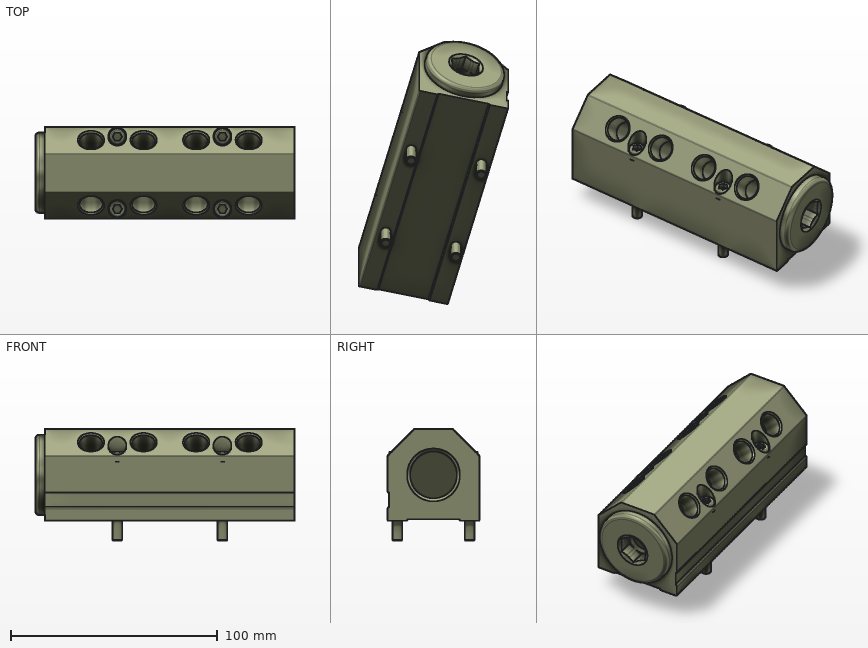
import cadquery as cq
import math

BLOCK_LENGTH = 120.65
BLOCK_SIZE = 44.45
TOP_CHAMFER = 12.9
HALF_WIDTH = BLOCK_SIZE / 2
CHAMFER_Z = BLOCK_SIZE - TOP_CHAMFER
TOP_FLAT_HALF = HALF_WIDTH - TOP_CHAMFER
MID_X = BLOCK_LENGTH / 2
BORE_Z = BLOCK_SIZE / 2

RELIEF_DEPTH = 0.72
SIDE_RELIEF_BOTTOM = 6.2
SIDE_RELIEF_TOP = 13.7
BASE_RELIEF_WIDTH = 26.2
EDGE_FILLET = 0.6

BORE_DIAMETER = 22.6
BORE_CHAMFER = 1.5
PORT_DIAMETER = 11.2
PORT_CHAMFER = 0.8
PORT_PITCH = 25.4
PORT_COUNT = 4
PORT_OFFSETS = [(i - (PORT_COUNT - 1) / 2) * PORT_PITCH for i in range(PORT_COUNT)]

SCREW_X_SPACING = 50.8
SCREW_Y_SPACING = 34.925
SCREW_DIAMETER = 4.83
SCREW_LENGTH = 38.1
SCREW_PROTRUSION = 9.53
SCREW_TIP_CHAMFER = 0.4
HEAD_DIAMETER = 7.92
HEAD_HEIGHT = SCREW_DIAMETER
HEAD_FILLET = 0.7
HEAD_HEX = 3.97
HEAD_HEX_DEPTH = HEAD_HEIGHT / 2
COUNTERBORE_DIAMETER = 8.73
HEAD_SEAT_Z = SCREW_LENGTH - SCREW_PROTRUSION
SCREW_POSITIONS = [
    (MID_X + sx * SCREW_X_SPACING / 2, sy * SCREW_Y_SPACING / 2)
    for sx in (-1, 1)
    for sy in (-1, 1)
]

PLUG_HEAD_DIAMETER = 38.95
PLUG_HEAD_THICKNESS = 4.7
PLUG_HEAD_FILLET = 2.0
PLUG_SHANK_LENGTH = 15.0
SOCKET_HEX = 13.3
SOCKET_DRILL_DIAMETER = 13.4
SOCKET_HEX_DEPTH = 7.9
SOCKET_DRILL_DEPTH = 11.0
SOCKET_MOUTH_DIAMETER = 16.95
SOCKET_MOUTH_DEPTH = 1.1


def across_corners(across_flats):
    return across_flats * 2 / math.sqrt(3)


def block_profile():
    """Square section with chamfered upper edges and two relief channels."""
    base_half = BASE_RELIEF_WIDTH / 2
    return [
        (-HALF_WIDTH, 0),
        (-base_half, 0),
        (-base_half + RELIEF_DEPTH, RELIEF_DEPTH),
        (base_half - RELIEF_DEPTH, RELIEF_DEPTH),
        (base_half, 0),
        (HALF_WIDTH, 0),
        (HALF_WIDTH, CHAMFER_Z),
        (TOP_FLAT_HALF, BLOCK_SIZE),
        (-TOP_FLAT_HALF, BLOCK_SIZE),
        (-HALF_WIDTH, CHAMFER_Z),
        (-HALF_WIDTH, SIDE_RELIEF_TOP),
        (-HALF_WIDTH + RELIEF_DEPTH, SIDE_RELIEF_TOP),
        (-HALF_WIDTH + RELIEF_DEPTH, SIDE_RELIEF_BOTTOM + RELIEF_DEPTH),
        (-HALF_WIDTH, SIDE_RELIEF_BOTTOM),
    ]


def outer_edge_points():
    """Profile points of the long convex edges on the outside of the block."""
    mirrored = [
        (side * y, z)
        for side in (-1, 1)
        for y, z in [(HALF_WIDTH, 0), (HALF_WIDTH, CHAMFER_Z), (TOP_FLAT_HALF, BLOCK_SIZE)]
    ]
    return mirrored + [(-HALF_WIDTH, SIDE_RELIEF_TOP), (-HALF_WIDTH, SIDE_RELIEF_BOTTOM)]


def port_cutter(x, side):
    """Port from the main bore axis out through the chamfer face on one side."""
    face_mid_y = side * (HALF_WIDTH - TOP_CHAMFER / 2)
    face_mid_z = BLOCK_SIZE - TOP_CHAMFER / 2
    face = cq.Plane(
        origin=(x, face_mid_y, face_mid_z), xDir=(1, 0, 0), normal=(0, -side, -1)
    )
    depth = math.hypot(face_mid_y, face_mid_z - BORE_Z)
    radius = PORT_DIAMETER / 2
    hole = cq.Workplane(face).circle(radius).extrude(depth)
    edge_break = cq.Solid.makeCone(
        radius + PORT_CHAMFER, radius, PORT_CHAMFER, face.origin, face.zDir
    )
    return hole.union(cq.Workplane(edge_break))


def make_block():
    block = cq.Workplane("YZ").polyline(block_profile()).close().extrude(BLOCK_LENGTH)
    for y, z in outer_edge_points():
        edge = cq.selectors.NearestToPointSelector((MID_X, y, z))
        block = block.edges(edge).fillet(EDGE_FILLET)
    bore = (
        cq.Workplane("YZ").center(0, BORE_Z).circle(BORE_DIAMETER / 2).extrude(BLOCK_LENGTH)
    )
    block = block.cut(bore)
    block = block.faces(">X").edges(cq.selectors.RadiusNthSelector(-1)).chamfer(BORE_CHAMFER)
    for offset in PORT_OFFSETS:
        for side in (-1, 1):
            block = block.cut(port_cutter(MID_X + offset, side))

    holes = (
        cq.Workplane("XY")
        .pushPoints(SCREW_POSITIONS)
        .circle(SCREW_DIAMETER / 2)
        .extrude(BLOCK_SIZE)
    )
    counterbores = (
        cq.Workplane("XY", origin=(0, 0, HEAD_SEAT_Z))
        .pushPoints(SCREW_POSITIONS)
        .circle(COUNTERBORE_DIAMETER / 2)
        .extrude(BLOCK_SIZE - HEAD_SEAT_Z)
    )
    return block.cut(holes).cut(counterbores)


def make_plug():
    """Flanged plug with a hexagon socket, closing the -X end of the bore."""
    head = (
        cq.Workplane("YZ", origin=(-PLUG_HEAD_THICKNESS, 0, BORE_Z))
        .circle(PLUG_HEAD_DIAMETER / 2)
        .extrude(PLUG_HEAD_THICKNESS)
        .faces("<X")
        .edges()
        .fillet(PLUG_HEAD_FILLET)
    )
    plug = (
        head.faces(">X")
        .workplane(centerOption="CenterOfMass")
        .circle(BORE_DIAMETER / 2)
        .extrude(PLUG_SHANK_LENGTH)
    )

    socket_plane = cq.Workplane("YZ", origin=(-PLUG_HEAD_THICKNESS, 0, BORE_Z))
    hexagon = (
        socket_plane.transformed(rotate=(0, 0, 90))
        .polygon(6, across_corners(SOCKET_HEX))
        .extrude(SOCKET_HEX_DEPTH)
    )
    drill = socket_plane.circle(SOCKET_DRILL_DIAMETER / 2).extrude(SOCKET_DRILL_DEPTH)
    mouth = cq.Solid.makeCone(
        SOCKET_MOUTH_DIAMETER / 2,
        SOCKET_DRILL_DIAMETER / 2,
        SOCKET_MOUTH_DEPTH,
        cq.Vector(-PLUG_HEAD_THICKNESS, 0, BORE_Z),
        cq.Vector(1, 0, 0),
    )
    return plug.cut(hexagon).cut(drill).cut(cq.Workplane(mouth))


def make_screw(x, y):
    """Socket head cap screw standing vertically with its head on the seat."""
    seat = cq.Workplane("XY", origin=(x, y, HEAD_SEAT_Z))
    head = (
        seat.circle(HEAD_DIAMETER / 2)
        .extrude(HEAD_HEIGHT)
        .faces(">Z")
        .edges()
        .fillet(HEAD_FILLET)
    )
    shank = (
        seat.circle(SCREW_DIAMETER / 2)
        .extrude(-SCREW_LENGTH)
        .faces("<Z")
        .chamfer(SCREW_TIP_CHAMFER)
    )
    socket = (
        seat.workplane(offset=HEAD_HEIGHT)
        .polygon(6, across_corners(HEAD_HEX))
        .extrude(-HEAD_HEX_DEPTH)
    )
    return head.union(shank).cut(socket)


block = make_block()
plug = make_plug()
screws = [make_screw(x, y) for x, y in SCREW_POSITIONS]

result = cq.Compound.makeCompound(
    [block.val(), plug.val(), *[screw.val() for screw in screws]]
)